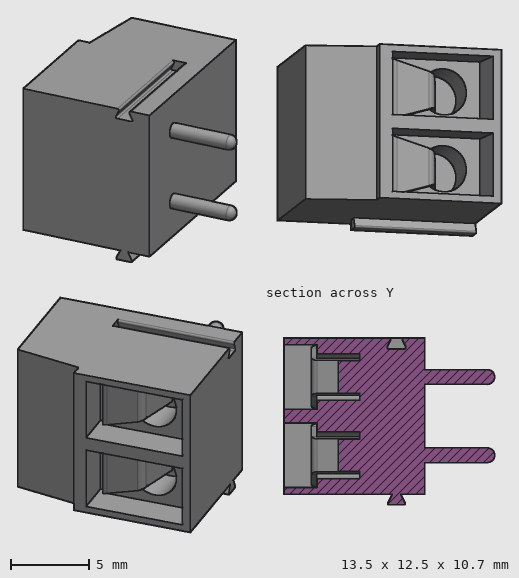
import cadquery as cq
import math

BODY_X = 9.0
BODY_Y = 12.5
BODY_Z = 10.0
POLE_COUNT = 2
PITCH = BODY_Z / POLE_COUNT
STEP_Y = 8.0
STEP_X = 0.8
SLOPE_END_X = 1.58

TOTAL_X = 13.5
PIN_RADIUS = 0.5
PIN_Y = 3.4

WINDOW_Y_MIN = 0.55
WINDOW_Y_MAX = 7.17
WINDOW_FLOOR_Y_MIN = 0.89
WINDOW_HEIGHT = 4.1
WINDOW_DEPTH = 2.1
SLOT_DEPTH = 2.5
HOLE_RADIUS = 1.5
HOLE_Y = 3.3

GUARD_X = 1.75
GUARD_Y_MAX = 6.86
GUARD_EDGE_RADIUS = 0.4
GUARD_FLAT_Y_MAX = GUARD_Y_MAX - GUARD_EDGE_RADIUS
GUARD_BEND_Y = 4.35
GUARD_BEND_RADIUS = 0.47
GUARD_BEND_ANGLE = math.radians(75)
GUARD_TIP_Y = 3.16
GUARD_EDGE_HALF_WIDTH = 2.01
GUARD_FLAT_HALF_WIDTH = 1.85
GUARD_BEND_HALF_WIDTH = 1.23
GUARD_LEG_HALF_WIDTH = 1.05

DOVETAIL_X = 7.2
DOVETAIL_SLOPE = 0.5
RAIL_HEIGHT = 0.68
RAIL_HALF_WIDTH = 0.62
GROOVE_DEPTH = 0.7
GROOVE_HALF_WIDTH = 0.65
CORNER_RADIUS = 0.1
LIP_RADIUS = 0.12


def dovetail(wide_z, narrow_z, half_width):
    """Trapezoid bar along Y, from the -Y face to the step."""
    narrow_half = half_width - DOVETAIL_SLOPE * abs(narrow_z - wide_z)
    bar = (
        cq.Workplane("XZ")
        .moveTo(DOVETAIL_X - half_width, wide_z)
        .lineTo(DOVETAIL_X + half_width, wide_z)
        .lineTo(DOVETAIL_X + narrow_half, narrow_z)
        .lineTo(DOVETAIL_X - narrow_half, narrow_z)
        .close()
        .extrude(-STEP_Y)
    )
    wide_side = "<Z" if wide_z < narrow_z else ">Z"
    return bar.faces(wide_side).edges("|Y").fillet(CORNER_RADIUS)


def housing():
    """Stepped block with the groove, its rounded lips and the rail."""
    outline = [
        (0, 0), (BODY_X, 0), (BODY_X, BODY_Y),
        (SLOPE_END_X, BODY_Y), (STEP_X, STEP_Y), (0, STEP_Y),
    ]
    block = cq.Workplane("XY").polyline(outline).close().extrude(BODY_Z)
    block = block.cut(dovetail(BODY_Z - GROOVE_DEPTH, BODY_Z, GROOVE_HALF_WIDTH))
    groove_lips = cq.selectors.BoxSelector(
        (DOVETAIL_X - GROOVE_HALF_WIDTH, 0, BODY_Z - LIP_RADIUS),
        (DOVETAIL_X + GROOVE_HALF_WIDTH, STEP_Y, BODY_Z + LIP_RADIUS),
    )
    block = block.edges("|Y").edges(groove_lips).fillet(LIP_RADIUS)
    return block.union(dovetail(-RAIL_HEIGHT, 0, RAIL_HALF_WIDTH))


BEND_END_X = GUARD_X + GUARD_BEND_RADIUS * (1 - math.cos(GUARD_BEND_ANGLE))
BEND_END_Y = GUARD_BEND_Y - GUARD_BEND_RADIUS * math.sin(GUARD_BEND_ANGLE)
HOLE_FLOOR_X = BEND_END_X + (BEND_END_Y - GUARD_TIP_Y) * math.tan(GUARD_BEND_ANGLE)


def wire_guard(z):
    """Bent profile trimmed to the tapering outline of the tongue."""
    half_angle = GUARD_BEND_ANGLE / 2
    bend_middle = (
        GUARD_X + GUARD_BEND_RADIUS * (1 - math.cos(half_angle)),
        GUARD_BEND_Y - GUARD_BEND_RADIUS * math.sin(half_angle),
    )
    profile = (
        cq.Workplane("XY", origin=(0, 0, z))
        .moveTo(HOLE_FLOOR_X, GUARD_Y_MAX)
        .lineTo(GUARD_X + GUARD_EDGE_RADIUS, GUARD_Y_MAX)
        .radiusArc((GUARD_X, GUARD_FLAT_Y_MAX), -GUARD_EDGE_RADIUS)
        .lineTo(GUARD_X, GUARD_BEND_Y)
        .threePointArc(bend_middle, (BEND_END_X, BEND_END_Y))
        .lineTo(HOLE_FLOOR_X, GUARD_TIP_Y)
        .close()
        .extrude(WINDOW_HEIGHT / 2, both=True)
    )
    edge = [
        (GUARD_Y_MAX, GUARD_EDGE_HALF_WIDTH),
        (GUARD_FLAT_Y_MAX, GUARD_FLAT_HALF_WIDTH),
        (GUARD_BEND_Y, GUARD_BEND_HALF_WIDTH),
        (BEND_END_Y, GUARD_LEG_HALF_WIDTH),
        (GUARD_TIP_Y, GUARD_LEG_HALF_WIDTH),
    ]
    mirrored_edge = [(y, -half_width) for y, half_width in reversed(edge)]
    outline = (
        cq.Workplane("YZ", origin=(0, 0, z))
        .polyline(edge + mirrored_edge)
        .close()
        .extrude(HOLE_FLOOR_X)
    )
    return profile.intersect(outline)


def wire_opening(z):
    """Window, slot and blind hole of one pole, leaving the wire guard standing."""
    window = (
        cq.Workplane("XY", origin=(0, 0, z))
        .polyline([
            (0, WINDOW_Y_MIN), (WINDOW_DEPTH, WINDOW_FLOOR_Y_MIN),
            (WINDOW_DEPTH, GUARD_Y_MAX), (SLOT_DEPTH, GUARD_Y_MAX),
            (SLOT_DEPTH, WINDOW_Y_MAX), (0, WINDOW_Y_MAX),
        ])
        .close()
        .extrude(WINDOW_HEIGHT / 2, both=True)
    )
    hole = (
        cq.Workplane("YZ")
        .center(HOLE_Y, z)
        .circle(HOLE_RADIUS)
        .extrude(HOLE_FLOOR_X)
    )
    return window.union(hole).cut(wire_guard(z))


def pin(z):
    """Round pin on the +X face with a hemispherical tip."""
    length = TOTAL_X - BODY_X
    return (
        cq.Workplane("YZ", origin=(BODY_X, PIN_Y, z))
        .circle(PIN_RADIUS)
        .extrude(length - PIN_RADIUS)
        .union(cq.Workplane("XY", origin=(TOTAL_X - PIN_RADIUS, PIN_Y, z)).sphere(PIN_RADIUS))
    )


result = housing()
for pole in range(POLE_COUNT):
    pole_z = (pole + 0.5) * PITCH
    result = result.cut(wire_opening(pole_z)).union(pin(pole_z))